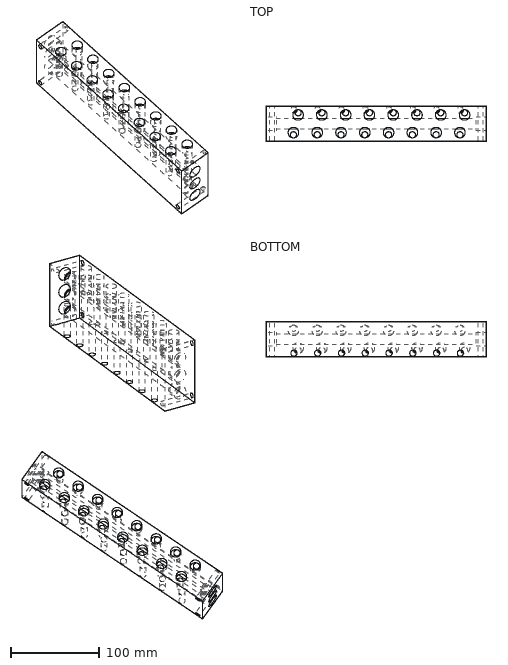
import cadquery as cq
import math

length = 250.0
width = 40.0
height = 80.0

bore_diameter = 12.0
bore_mouth_diameter = 15.5
bore_mouth_depth = 12.0
bore_pitch = 21.5

port_count = 8
port_pitch = 27.0
port_row_y = 10.0
front_row_center_x = 0.5
back_row_center_x = 5.8
port_diameter = 12.0
port_depth = 12.0
feed_diameter = 7.0
feed_depth = height / 2
drill_point_angle = 118.0

lower_shift_x = -4.8
lower_shift_y = 3.2

mount_diameter = 5.5
mount_inset = 6.8

top = height / 2
bottom = -height / 2
feed_y = port_row_y + (port_diameter - feed_diameter) / 2


def row_positions(center_x, y):
    """Port centres of one row, evenly spaced about center_x."""
    first_x = center_x - port_pitch * (port_count - 1) / 2
    return [(first_x + i * port_pitch, y) for i in range(port_count)]


def vertical_holes(points, diameter, depth, start_z):
    """Flat-ended holes going up from start_z by depth (down if negative)."""
    return cq.Workplane("XY", origin=(0, 0, start_z)).pushPoints(points).circle(diameter / 2).extrude(depth)


def feed_drill():
    """Downward drill with a conical point, its axis on Z and its mouth in the top face."""
    radius = feed_diameter / 2
    shoulder_z = top - feed_depth
    tip_z = shoulder_z - radius / math.tan(math.radians(drill_point_angle / 2))
    outline = [(0, top), (radius, top), (radius, shoulder_z), (0, tip_z)]
    return cq.Workplane("XZ").polyline(outline).close().revolve(360, (0, 0), (0, 1))


block = cq.Workplane("XY").box(length, width, height)

bore_centers = [(0, i * bore_pitch) for i in (-1, 0, 1)]
for side in (-1, 1):
    end_face = cq.Workplane("YZ", origin=(side * length / 2, 0, 0)).pushPoints(bore_centers)
    block = block.cut(end_face.circle(bore_mouth_diameter / 2).extrude(-side * bore_mouth_depth))
bore_start = cq.Workplane("YZ", origin=(-length / 2, 0, 0)).pushPoints(bore_centers)
block = block.cut(bore_start.circle(bore_diameter / 2).extrude(length))

for center_x, side in ((front_row_center_x, -1), (back_row_center_x, 1)):
    ports = row_positions(center_x, side * port_row_y)
    block = block.cut(vertical_holes(ports, port_diameter, -port_depth, top))
    for x, y in row_positions(center_x, side * feed_y):
        block = block.cut(feed_drill().translate((x, y, 0)))

lower_points = row_positions(back_row_center_x + lower_shift_x, feed_y + lower_shift_y)
block = block.cut(vertical_holes(lower_points, feed_diameter, height - feed_depth, bottom))

mounts = cq.Workplane("XZ", origin=(0, width / 2, 0)).rect(
    length - 2 * mount_inset, height - 2 * mount_inset, forConstruction=True
)
block = block.cut(mounts.vertices().circle(mount_diameter / 2).extrude(width))

result = block